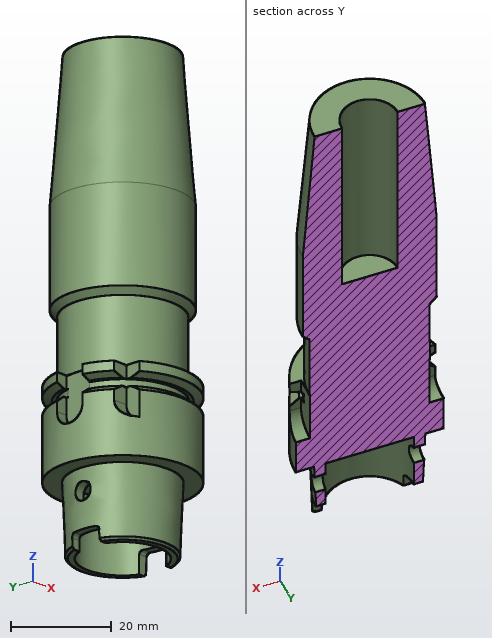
import cadquery as cq

total_height = 106.0
flange_bottom = 16.0
flange_top = 36.0
groove_cone_start = 30.0
groove_bottom = 31.4
groove_top = 33.1
groove_cone_end = 33.9
neck_top = 51.0
body_bottom = 52.5
nose_bottom = 74.3

flange_radius = 16.0
groove_radius = 13.2
groove_lip_radius = 14.1
neck_radius = 13.0
body_radius = 14.5
nose_radius = 12.0
shank_top_radius = 12.1
shank_bottom_radius = 11.5
shank_chamfer = 0.5

bore_diameter = 12.0
bore_depth = 42.4
shank_cavity_radius = 9.5
shank_cavity_depth = flange_bottom
cross_hole_diameter = 4.0
cross_hole_height = 11.1

slot_bottom = 24.3
narrow_slot_width = 6.8
wide_slot_width = 8.9
slot_floor = 12.9
corner_slot_floor = 9.3
corner_slot_center = -12.8

notch_width = 7.2
notch_height = 3.2
tall_notch_height = 5.1
notch_corner_radius = 0.8


def turned_body():
    """Revolve the holder's half section about the Z axis."""
    section = [
        (0, 0),
        (shank_bottom_radius - shank_chamfer, 0),
        (shank_bottom_radius, shank_chamfer),
        (shank_top_radius, flange_bottom),
        (flange_radius, flange_bottom),
        (flange_radius, groove_cone_start),
        (groove_lip_radius, groove_bottom),
        (groove_radius, groove_bottom),
        (groove_radius, groove_top),
        (groove_lip_radius, groove_top),
        (flange_radius, groove_cone_end),
        (flange_radius, flange_top),
        (neck_radius, flange_top),
        (neck_radius, neck_top),
        (body_radius, body_bottom),
        (body_radius, nose_bottom),
        (nose_radius, total_height),
        (0, total_height),
    ]
    return cq.Workplane("XZ").polyline(section).close().revolve(360, (0, 0), (0, 1))


def flange_slot(side, width, floor, center_y=0):
    """Slot with a half-round lower end, from |x| = floor outward; side is the sign of X."""
    half_width = width / 2
    arc_height = slot_bottom + half_width
    return (
        cq.Workplane("YZ", origin=(side * floor, 0, 0))
        .moveTo(center_y - half_width, flange_top)
        .lineTo(center_y - half_width, arc_height)
        .threePointArc((center_y, slot_bottom), (center_y + half_width, arc_height))
        .lineTo(center_y + half_width, flange_top)
        .close()
        .extrude(side * flange_radius)
    )


def drive_notch(height, start, end):
    """Notch open at the shank end with rounded upper corners, from x = start to end."""
    length = end - start
    return (
        cq.Workplane("XY", origin=((start + end) / 2, 0, 0))
        .box(length, notch_width, height, centered=(True, True, False))
        .edges("|X and >Z")
        .fillet(notch_corner_radius)
    )


bore = (
    cq.Workplane("XY", origin=(0, 0, total_height - bore_depth))
    .circle(bore_diameter / 2)
    .extrude(bore_depth)
)
shank_cavity = cq.Workplane("XY").circle(shank_cavity_radius).extrude(shank_cavity_depth)
cross_hole = (
    cq.Workplane("YZ")
    .center(0, cross_hole_height)
    .circle(cross_hole_diameter / 2)
    .extrude(flange_radius, both=True)
)

result = (
    turned_body()
    .cut(bore)
    .cut(shank_cavity)
    .cut(cross_hole)
    .cut(flange_slot(-1, narrow_slot_width, slot_floor))
    .cut(flange_slot(1, wide_slot_width, slot_floor))
    .cut(flange_slot(-1, narrow_slot_width, corner_slot_floor, corner_slot_center))
    .cut(drive_notch(notch_height, -flange_radius, 0))
    .cut(drive_notch(tall_notch_height, 0, flange_radius))
)